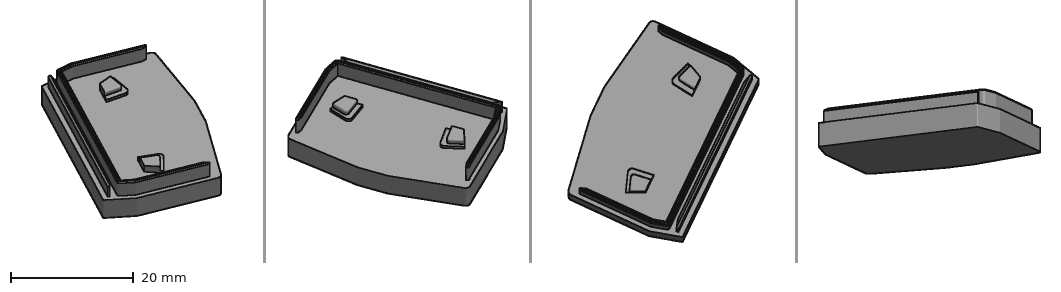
import cadquery as cq
import math

half_width = 16.0
depth = 22.2
base_height = 4.0
total_height = 7.0
front_lean = math.radians(15)
side_taper = math.tan(front_lean)
base_taper_start = 5.3
back_flat_half = 2.65
back_corner_y = 20.05
back_corner_radius = 0.8
front_corner_radius = 0.25

wall_height = total_height - base_height
wall_half_width = 15.23
wall_thickness = 0.75
wall_front_y = 2.53
wall_taper_start = 5.35
wall_tip_y = 19.65
wall_inner_end_y = 17.35
wall_tip_radius = 0.24
wall_corner_radius = 0.48
wall_edge_chamfer = 0.22

rail_half_length = 14.1
rail_back_half_length = 12.7
rail_front_y = 0.95
rail_back_y = 1.75
rail_end_y = 1.3
rail_shoulder_height = 2.15
rail_ridge_height = 2.45

clip_front_y = 8.6
clip_front_inner_x = -7.33
clip_front_outer_x = -10.5
clip_outer_corner = (-11.87, 11.52)
clip_back_corner = (-7.87, 12.93)
clip_corner_radius = 0.7
clip_step_height = 0.5
clip_height = 1.38
clip_side_ledge = 0.95
clip_back_ledge = 0.58
clip_upper_radius = 0.5
clip_edge_fillet = 0.32


def mirrored(left_points):
    """Close a symmetric outline from its left-hand points."""
    return left_points + [(-x, y) for x, y in reversed(left_points)]


def make_base():
    front_half = half_width - base_taper_start * side_taper
    outline = mirrored([
        (-front_half, 0),
        (-half_width, base_taper_start),
        (-half_width, back_corner_y),
        (-back_flat_half, depth),
    ])
    base = cq.Workplane("XY").polyline(outline).close().extrude(base_height)
    base = base.edges("|Z and <Y").fillet(front_corner_radius)
    for side in (-1, 1):
        corner = cq.selectors.NearestToPointSelector((side * half_width, back_corner_y, base_height / 2))
        base = base.edges("|Z").edges(corner).fillet(back_corner_radius)
    return base


def make_wall():
    outer_front_half = wall_half_width - (wall_taper_start - wall_front_y) * side_taper
    bend_shift = wall_thickness * math.tan(front_lean / 2)
    inner_half = wall_half_width - wall_thickness
    inner_bend_y = wall_taper_start + bend_shift
    inner_front_y = wall_front_y + wall_thickness
    inner_front_half = inner_half - (inner_bend_y - inner_front_y) * side_taper
    outer = [
        (-wall_half_width, wall_tip_y),
        (-wall_half_width, wall_taper_start),
        (-outer_front_half, wall_front_y),
    ]
    inner = [
        (inner_half, wall_inner_end_y),
        (inner_half, inner_bend_y),
        (inner_front_half, inner_front_y),
    ]
    outline = mirrored(outer) + mirrored(inner)
    wall = cq.Workplane("XY", origin=(0, 0, base_height)).polyline(outline).close().extrude(wall_height)
    wall = wall.edges("|Z and <Y").fillet(wall_corner_radius)
    wall = wall.edges("|Z and >Y").fillet(wall_tip_radius)
    return wall.faces(">Z").edges().chamfer(wall_edge_chamfer)


def make_rail():
    plan = mirrored([
        (-rail_half_length, rail_front_y),
        (-rail_half_length, rail_end_y),
        (-rail_back_half_length, rail_back_y),
    ])
    section = [
        (rail_front_y, 0),
        (rail_back_y, 0),
        (rail_back_y, rail_shoulder_height),
        ((rail_front_y + rail_back_y) / 2, rail_ridge_height),
        (rail_front_y, rail_shoulder_height),
    ]
    prism = cq.Workplane("XY", origin=(0, 0, base_height)).polyline(plan).close().extrude(rail_ridge_height)
    ridge = (
        cq.Workplane("YZ", origin=(0, 0, base_height))
        .polyline(section)
        .close()
        .extrude(rail_half_length, both=True)
    )
    return prism.intersect(ridge)


def make_clip():
    """Left clip: a low step carrying a taller block with rounded upper edges."""
    outer_x, outer_y = clip_outer_corner
    back_x, back_y = clip_back_corner
    back_slope = (back_y - outer_y) / (back_x - outer_x)
    outer_slope = (outer_x - clip_front_outer_x) / (outer_y - clip_front_y)
    inner_slope = (back_x - clip_front_inner_x) / (back_y - clip_front_y)

    def block(side_ledge, back_ledge, radius, height):
        inner_x = clip_front_inner_x - side_ledge * math.hypot(1, inner_slope)
        back_drop = back_ledge * math.hypot(1, back_slope)
        back_rise = outer_y - back_drop - clip_front_y
        outer_rise = (
            (back_rise + back_slope * (clip_front_outer_x - outer_x)) / (1 - back_slope * outer_slope)
        )
        inner_rise = (back_rise + back_slope * (inner_x - outer_x)) / (1 - back_slope * inner_slope)
        outline = [
            (inner_x, clip_front_y),
            (inner_x + inner_slope * inner_rise, clip_front_y + inner_rise),
            (clip_front_outer_x + outer_slope * outer_rise, clip_front_y + outer_rise),
            (clip_front_outer_x, clip_front_y),
        ]
        solid = cq.Workplane("XY", origin=(0, 0, base_height)).polyline(outline).close().extrude(height)
        return solid.edges("|Z and >Y").fillet(radius)

    step = block(0, 0, clip_corner_radius, clip_step_height)
    upper = block(clip_side_ledge, clip_back_ledge, clip_upper_radius, clip_height)
    upper = upper.faces(">Z").edges(">Y").fillet(clip_edge_fillet)
    return step.union(upper)


clip = make_clip()
result = make_base().union(make_wall()).union(make_rail()).union(clip).union(clip.mirror("YZ"))